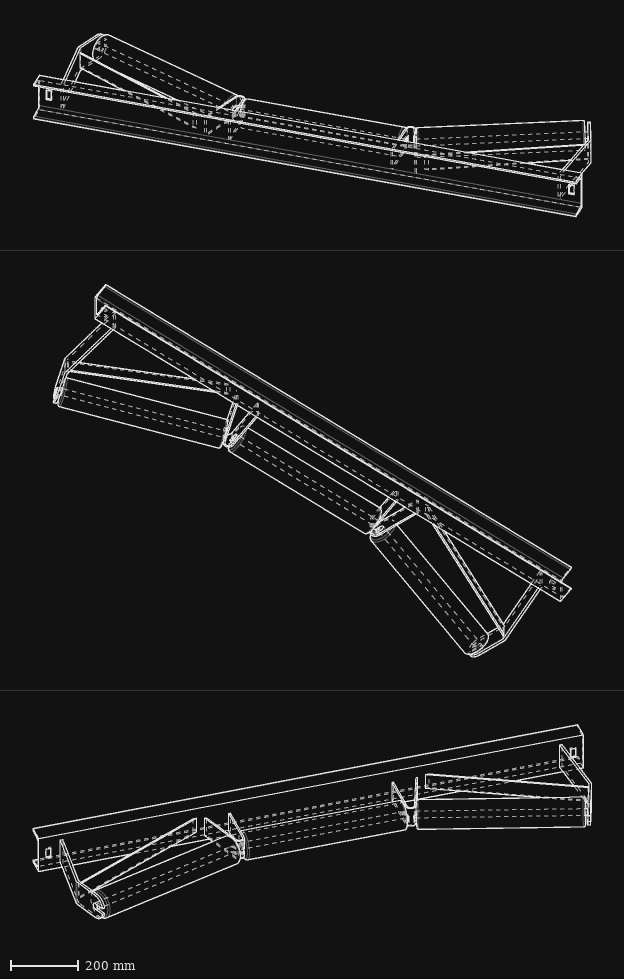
import cadquery as cq
import math


beam_length = 1700.0
beam_height = 120.0
flange_width = 55.0
web_thickness = 7.0
flange_thickness = 9.0
flange_taper = 0.08
root_radius = 9.0
toe_radius = 4.5
mount_slot_width = 16.0
mount_slot_height = 32.0
mount_slot_x = 819.0

roller_diameter = 89.0
roller_length = 500.0
roller_edge_radius = 5.0
shaft_diameter = 20.0
trough_angle = 20.0
middle_axis_y = 116.0
side_drop = 20.0
middle_axis_z = -side_drop
side_outer_end = cq.Vector(-758.0, 296.83, 0.0)

outer_strap_height = 80.0
outer_strap_thickness = 8.0
outer_strap_gap = 8.0
outer_strap_foot_x = -783.0
outer_strap_bend_y = 217.0
outer_strap_reach = 35.0
outer_strap_corner_radius = 36.0
outer_strap_bend_radius = 8.0
inner_strap_height = 64.0
inner_strap_top_z = 20.0
inner_strap_thickness = 5.0
inner_strap_gap = 2.0
inner_strap_bend_radius = 11.0
slot_mouth_length = 70.0
brace_thickness = 5.0
brace_height = 50.0
brace_foot_x = -363.0
brace_top_y = 214.0

trough = math.radians(trough_angle)
drop = math.asin(side_drop / roller_length)
along_plan = cq.Vector(math.cos(trough), -math.sin(trough), 0)
up_strap = cq.Vector(math.sin(trough), math.cos(trough), 0)
side_axis = along_plan * math.cos(drop) - cq.Vector(0, 0, math.sin(drop))
side_inner_end = side_outer_end + side_axis * roller_length
middle_end = cq.Vector(-roller_length / 2, middle_axis_y, middle_axis_z)
middle_axis = cq.Vector(1, 0, 0)
up_straight = cq.Vector(0, 1, 0)


def mirrored(part):
    return part.mirror("YZ")


def plate(outline, height):
    """Plan outline extruded to `height`, centred on Z = 0."""
    return outline.close().extrude(height / 2, both=True)


def make_beam():
    half = beam_height / 2
    toe_z = half - flange_thickness + flange_taper * flange_width / 2
    root_z = toe_z - flange_taper * (flange_width - web_thickness)
    beam = (
        cq.Workplane("YZ")
        .polyline([
            (0, -half), (-flange_width, -half), (-flange_width, -toe_z), (-web_thickness, -root_z),
            (-web_thickness, root_z), (-flange_width, toe_z), (-flange_width, half), (0, half),
        ])
        .close()
        .extrude(beam_length / 2, both=True)
    )
    for side in (-1, 1):
        root = (0, -web_thickness, side * root_z)
        toe = (0, -flange_width, side * toe_z)
        beam = beam.edges(cq.NearestToPointSelector(root)).fillet(root_radius)
        beam = beam.edges(cq.NearestToPointSelector(toe)).fillet(toe_radius)
    slots = (
        cq.Workplane("XZ")
        .pushPoints([(-mount_slot_x, 0), (mount_slot_x, 0)])
        .rect(mount_slot_width, mount_slot_height)
        .extrude(web_thickness)
    )
    return beam.cut(slots)


def make_outer_strap():
    """Bent strap at the outer end of the left side roller, with its diagonal brace."""
    on_face = side_outer_end - along_plan * (outer_strap_gap + outer_strap_thickness)
    bend = on_face + up_strap * ((outer_strap_bend_y - on_face.y) / up_strap.y)
    tip = on_face + up_strap * outer_strap_reach
    lean = math.atan2(outer_strap_foot_x - bend.x, bend.y)
    half_turn = (trough + lean) / 2
    mitre_angle = half_turn - lean
    mitre = outer_strap_thickness / math.cos(half_turn)
    inner_bend = (bend.x + mitre * math.cos(mitre_angle), bend.y - mitre * math.sin(mitre_angle))
    inner_tip = tip + along_plan * outer_strap_thickness
    inner_foot_x = outer_strap_foot_x + outer_strap_thickness / math.cos(lean)
    strap = plate(
        cq.Workplane("XY").polyline([
            (outer_strap_foot_x, 0), (bend.x, bend.y), (tip.x, tip.y),
            (inner_tip.x, inner_tip.y), inner_bend, (inner_foot_x, 0),
        ]),
        outer_strap_height,
    )
    outside_radius = outer_strap_bend_radius + outer_strap_thickness
    strap = strap.edges(cq.NearestToPointSelector((bend.x, bend.y, 0))).fillet(outside_radius)
    strap = strap.edges(cq.NearestToPointSelector((*inner_bend, 0))).fillet(outer_strap_bend_radius)
    for side in (-1, 1):
        corner = (tip + inner_tip) / 2 + cq.Vector(0, 0, side * outer_strap_height / 2)
        strap = strap.edges(cq.NearestToPointSelector(corner.toTuple())).fillet(outer_strap_corner_radius)
    core_foot_x = (outer_strap_foot_x + inner_foot_x) / 2
    return strap.union(make_brace(core_foot_x - brace_top_y * math.tan(lean)))


def make_brace(top_x):
    """Flat bar from the beam to the middle of the outer strap's thickness."""
    run = brace_foot_x - top_x
    half_width = brace_thickness / 2 * math.hypot(run, brace_top_y) / brace_top_y
    return plate(
        cq.Workplane("XY").polyline([
            (brace_foot_x - half_width, 0), (brace_foot_x + half_width, 0),
            (top_x, brace_top_y + half_width * brace_top_y / run),
            (top_x, brace_top_y - half_width * brace_top_y / run),
        ]),
        brace_height,
    )


def make_inner_strap():
    """Strap folded over between the left side roller and the middle roller."""
    outer_radius = inner_strap_bend_radius + inner_strap_thickness
    straight_x = middle_end.x - inner_strap_gap
    on_face = side_inner_end + along_plan * inner_strap_gap
    centre_x = straight_x - outer_radius
    on_line = on_face + along_plan * outer_radius
    centre = on_line + up_strap * ((centre_x - on_line.x) / up_strap.x)
    slanted_foot_x = on_face.x - on_face.y * math.tan(trough)
    foot_width = inner_strap_thickness / math.cos(trough)
    crown = cq.Vector(-math.sin(trough / 2), math.cos(trough / 2), 0)

    def on_bend(direction, radius):
        point = cq.Vector(centre.x, centre.y, 0) + direction * radius
        return (point.x, point.y)

    inner_radius = inner_strap_bend_radius
    right = middle_axis
    left = along_plan * -1
    return plate(
        cq.Workplane("XY")
        .moveTo(straight_x, 0)
        .lineTo(*on_bend(right, outer_radius))
        .threePointArc(on_bend(crown, outer_radius), on_bend(left, outer_radius))
        .lineTo(slanted_foot_x, 0)
        .lineTo(slanted_foot_x + foot_width, 0)
        .lineTo(*on_bend(left, inner_radius))
        .threePointArc(on_bend(crown, inner_radius), on_bend(right, inner_radius))
        .lineTo(straight_x - inner_strap_thickness, 0),
        inner_strap_height,
    ).translate((0, 0, inner_strap_top_z - inner_strap_height / 2))


def make_roller(end, axis):
    plane = cq.Plane(origin=end, normal=axis)
    return (
        cq.Workplane(plane)
        .circle(roller_diameter / 2)
        .extrude(roller_length)
        .edges()
        .fillet(roller_edge_radius)
        .cut(cq.Workplane(plane).circle(shaft_diameter / 2).extrude(roller_length))
    )


def make_shaft(end, axis, start_reach, end_reach):
    """Shaft through a roller, reaching beyond it to the far face of the strap at each end."""
    plane = cq.Plane(origin=end - axis * start_reach, normal=axis)
    shaft_length = start_reach + roller_length + end_reach
    return cq.Workplane(plane).circle(shaft_diameter / 2).extrude(shaft_length)


def make_shaft_slot(end, axis, up, gap, thickness):
    """Open slot for a shaft in the strap that faces a roller end; `axis` points out of the roller."""
    plane = cq.Plane(origin=end + axis * (gap / 2), xDir=up, normal=axis)
    depth = gap / 2 + thickness + gap / 2
    bore = cq.Workplane(plane).circle(shaft_diameter / 2).extrude(depth)
    mouth = (
        cq.Workplane(plane)
        .center(slot_mouth_length / 2, 0)
        .rect(slot_mouth_length, shaft_diameter)
        .extrude(depth)
    )
    return bore.union(mouth)


outer_reach = outer_strap_gap + outer_strap_thickness
inner_reach = inner_strap_gap + inner_strap_thickness

outer_strap = make_outer_strap().cut(
    make_shaft_slot(side_outer_end, side_axis * -1, up_strap, outer_strap_gap, outer_strap_thickness)
)
inner_strap = (
    make_inner_strap()
    .cut(make_shaft_slot(side_inner_end, side_axis, up_strap, inner_strap_gap, inner_strap_thickness))
    .cut(make_shaft_slot(middle_end, middle_axis * -1, up_straight, inner_strap_gap, inner_strap_thickness))
)
frame = make_beam()
for strap in (outer_strap, inner_strap):
    frame = frame.union(strap).union(mirrored(strap))

middle_roller = make_roller(middle_end, middle_axis)
middle_shaft = make_shaft(middle_end, middle_axis, inner_reach, inner_reach)
side_roller = make_roller(side_outer_end, side_axis)
side_shaft = make_shaft(side_outer_end, side_axis, outer_reach, inner_reach)

bodies = [frame.val(), middle_roller.val(), middle_shaft.val()]
for body in (side_roller, side_shaft):
    bodies += [body.val(), mirrored(body).val()]
result = cq.Compound.makeCompound(bodies)